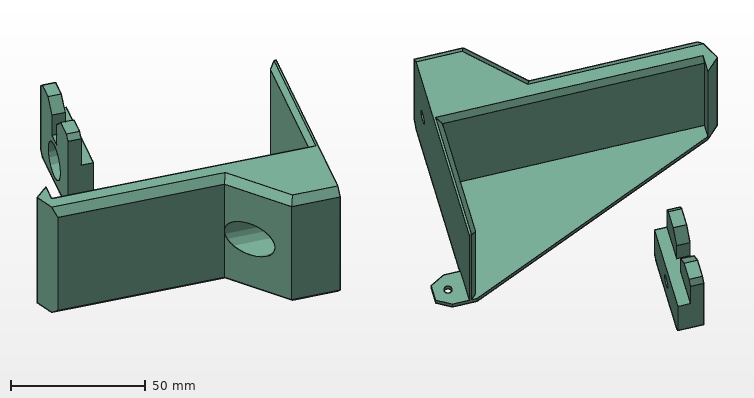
import cadquery as cq

bracket_width = 80.0
bracket_depth = 109.0
bracket_height = 51.0
floor_thickness = 2.2
rear_wall = 3.0
pocket_right = 50.0
nose_length = 5.0
arm_thickness = 10.0
mount_side_depth = 19.0
edge_chamfer = 3.0

arm_right = pocket_right + arm_thickness
pocket_front = -(bracket_depth - nose_length)
brace_run = bracket_width - arm_right
brace_front = -(mount_side_depth + brace_run)

lead_in = 2.12

tab_radius = 6.5
tab_hole_diameter = 3.0

screw_diameter = 5.0
head_diameter = 15.0
bracket_screw_x = arm_right + head_diameter / 2
bracket_screw_z = bracket_height / 2
bracket_seat_thickness = 5.0

clip_width = 34.0
clip_left = -32.52
clip_front = -81.8
clip_base_depth = 10.0
clip_base_height = 20.2
clip_height = 35.0
prong_depth = 5.2
slot_width = 5.8
slot_flare = 5.0
clip_corner_chamfer = 2.0
clip_screw_z = clip_base_height / 2
clip_seat_thickness = 5.0


def screw_hole(x, z, front, seat, back):
    """Screw hole along Y, with a head recess from `front` to `seat`."""
    recess = cq.Workplane("XZ", origin=(x, seat, z)).circle(head_diameter / 2).extrude(seat - front)
    shank = cq.Workplane("XZ", origin=(x, back, z)).circle(screw_diameter / 2).extrude(back - front)
    return recess.union(shank)


def bracket_body():
    """Full-height block with the right side edges chamfered top and bottom."""
    outline = [
        (0, 0),
        (0, -rear_wall),
        (pocket_right - nose_length, pocket_front),
        (pocket_right, -bracket_depth),
        (arm_right, pocket_front),
        (arm_right, brace_front),
        (bracket_width, -mount_side_depth),
        (bracket_width, 0),
    ]
    overrun = 2 * edge_chamfer
    chamfered = [
        (-overrun, overrun),
        (-overrun, -bracket_depth - overrun),
        (arm_right, -bracket_depth - overrun),
        (arm_right, brace_front),
        (bracket_width, -mount_side_depth),
        (bracket_width, overrun),
    ]
    envelope = cq.Workplane("XY").polyline(chamfered).close().extrude(bracket_height)
    envelope = envelope.faces("|Z").chamfer(edge_chamfer)
    return cq.Workplane("XY").polyline(outline).close().extrude(bracket_height).intersect(envelope)


def pocket():
    """Open pocket with bevels on its two top edges and on the rear wall's free end."""
    pocket_length = -rear_wall - pocket_front
    cavity = (
        cq.Workplane("XY", origin=(0, pocket_front, floor_thickness))
        .rect(pocket_right, pocket_length, centered=False)
        .extrude(bracket_height - floor_thickness)
    )
    bevel_bottom = bracket_height - lead_in
    mouth_right = pocket_right + lead_in
    mouth_rear = -rear_wall + lead_in
    mouth_across = (
        cq.Workplane("XZ", origin=(0, pocket_front, 0))
        .moveTo(0, bevel_bottom)
        .lineTo(pocket_right, bevel_bottom)
        .lineTo(mouth_right, bracket_height)
        .lineTo(0, bracket_height)
        .close()
        .extrude(pocket_front - mouth_rear)
    )
    mouth_along = (
        cq.Workplane("YZ")
        .moveTo(pocket_front, bevel_bottom)
        .lineTo(-rear_wall, bevel_bottom)
        .lineTo(mouth_rear, bracket_height)
        .lineTo(pocket_front, bracket_height)
        .close()
        .extrude(mouth_right)
    )
    mouth = mouth_across.intersect(mouth_along)
    end_bevel = (
        cq.Workplane("XY", origin=(0, 0, floor_thickness))
        .moveTo(lead_in, -rear_wall)
        .lineTo(0, -rear_wall + lead_in)
        .lineTo(0, -rear_wall)
        .close()
        .extrude(bracket_height - floor_thickness)
    )
    return cavity.union(mouth).union(end_bevel)


def tab():
    """Thin tab whose end is half a hexagon, with a small hole at the hexagon's center."""
    end = (
        cq.Workplane("XY", origin=(tab_radius, tab_radius, 0))
        .polygon(6, 2 * tab_radius)
        .extrude(floor_thickness)
    )
    base = cq.Workplane("XY").rect(2 * tab_radius, tab_radius, centered=False).extrude(floor_thickness)
    hole = (
        cq.Workplane("XY", origin=(tab_radius, tab_radius, 0))
        .circle(tab_hole_diameter / 2)
        .extrude(floor_thickness)
    )
    return end.union(base).cut(hole)


def make_bracket():
    screw = screw_hole(bracket_screw_x, bracket_screw_z, brace_front, -bracket_seat_thickness, 0)
    return bracket_body().union(tab()).cut(pocket()).cut(screw)


def make_clip():
    center = clip_left + clip_width / 2
    clip_back = clip_front + clip_base_depth
    plate = (
        cq.Workplane("XZ", origin=(center, clip_back, clip_height / 2))
        .rect(clip_width, clip_height)
        .extrude(clip_base_depth)
        .edges("|Y")
        .chamfer(clip_corner_chamfer)
    )
    step = (
        cq.Workplane("XZ", origin=(center, clip_back, (clip_base_height + clip_height) / 2))
        .rect(clip_width, clip_height - clip_base_height)
        .extrude(clip_base_depth - prong_depth)
    )
    half_slot = slot_width / 2
    half_mouth = half_slot + slot_flare
    slot = (
        cq.Workplane("XZ", origin=(center, clip_back, 0))
        .moveTo(-half_slot, clip_base_height)
        .lineTo(-half_slot, clip_height - slot_flare)
        .lineTo(-half_mouth, clip_height)
        .lineTo(half_mouth, clip_height)
        .lineTo(half_slot, clip_height - slot_flare)
        .lineTo(half_slot, clip_base_height)
        .close()
        .extrude(clip_base_depth)
    )
    screw = screw_hole(center, clip_screw_z, clip_front, clip_back - clip_seat_thickness, clip_back)
    return plate.cut(step).cut(slot).cut(screw)


bracket = make_bracket()
clip = make_clip()

result = cq.Compound.makeCompound([bracket.val(), clip.val()])